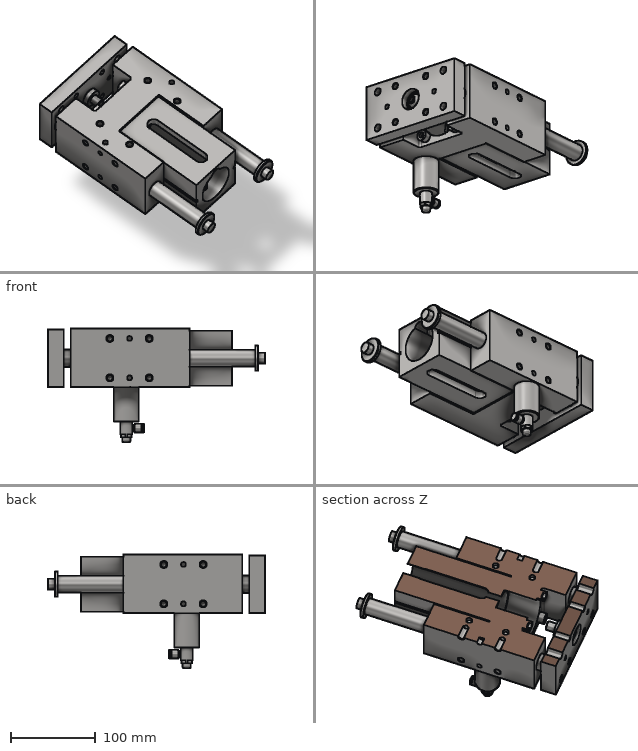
import cadquery as cq
import math

TOTAL_LENGTH = 256.0
AXIS_Z = 34.0
ROD_Y = 52.0
BOLT_PITCH = 46.3
OVERRUN = 0.8

TAP_DIA = 6.7
TAP_RIM_DIA = 8.5
TAP_RIM_DEPTH = 0.5
TAP_DEPTH = 16.0
DRILL_POINT_HEIGHT = 2.0
DOWEL_DIA = 6.0
DOWEL_DEPTH = 7.7
BOLT_HEAD_DIA = 13.0
BOLT_HEAD_HEIGHT = 8.0
SOCKET_DIA = 6.5
SOCKET_DEPTH = 4.0

HOUSING_START = 27.0
HOUSING_LENGTH = 140.0
HOUSING_END = HOUSING_START + HOUSING_LENGTH
HOUSING_WIDTH = 137.0
HOUSING_HEIGHT = 69.0
RECESS_END = 56.8
RECESS_WIDTH = 65.8
RECESS_FILLET = 2.5
RECESS_BORE_DIA = 53.8
NOTCH_START = HOUSING_START + HOUSING_LENGTH / 2
NOTCH_WIDTH = 71.0
MOUNT_X = 96.3
TOP_TAP_Y = 42.5
TOP_DOWEL_Y = 59.1

BLOCK_END = 217.0
BLOCK_WIDTH = 69.0
BLOCK_HEIGHT = 65.0
BLOCK_BORE_DIA = 47.0
SLOT_START = 112.5
SLOT_END = 201.5
SLOT_WIDTH = 15.0
KEYWAY_Z = 54.3
SIDE_GROOVE_HEIGHT = 3.0
SIDE_GROOVE_DEPTH = 2.0

LOCK_X = 92.5
LOCK_DIA = 30.0
LOCK_DEPTH = 41.0
LOCK_CHAMFER = 1.0
STEM_DIA = 14.3
STEM_DEPTH = 55.3
NUT_FLATS = 13.3
NUT_DEPTH = 59.1
TIP_DIA = 10.0
TIP_DEPTH = 65.0
TIP_FILLET = 2.0
INLET_Z = -48.5
INLET_PIN_DIA = 4.9
INLET_PIN_END = 8.0
INLET_NECK_DIA = 8.2
INLET_NECK_END = 10.0
INLET_HEAD_DIA = 10.8
INLET_HEAD_END = 21.0
INLET_GROOVE_START = 18.0
INLET_GROOVE_WIDTH = 1.3
INLET_GROOVE_DIA = 10.0
INLET_CHAMFER = 0.8

PLATE_THICKNESS = 19.0
PLATE_WIDTH = 134.0
PLATE_HEIGHT = 2 * AXIS_Z
PLATE_BORE_DIA = 25.5
PLATE_BORE_DEPTH = 9.0
CORNER_HOLE_DIA = 9.0
CORNER_HOLE_Y = 50.0
PLATE_DOWEL_Y = 35.8

COUPLING_DIA = 21.0
COUPLING_LENGTH = 6.5
WASHER_HEIGHT = 1.3
DOME_DIA = 17.5
DOME_TOP_DIA = 9.5
DOME_HEIGHT = 5.0
PISTON_ROD_DIA = 11.0
PISTON_ROD_LENGTH = 12.0
PISTON_ROD_CHAMFER = 0.8

ROD_DIA = 20.0
ROD_END = 244.2
STOP_DIA = 30.0
STOP_THICKNESS = TOTAL_LENGTH - BOLT_HEAD_HEIGHT - ROD_END
STOP_CHAMFER = 0.8

SQUARE_PATTERN = [(sy * BOLT_PITCH / 2, sz * BOLT_PITCH / 2) for sy in (-1, 1) for sz in (-1, 1)]


def x_cylinder(dia, start, end, y=0.0, z=AXIS_Z):
    """Cylinder along X between two stations."""
    plane = cq.Plane(origin=(start, y, z), xDir=(0, 1, 0), normal=(1, 0, 0))
    return cq.Workplane(plane).circle(dia / 2).extrude(end - start)


def z_cylinder(dia, top, bottom, x, y):
    """Cylinder hanging down from one height to a lower one."""
    return cq.Workplane("XY", origin=(x, y, bottom)).circle(dia / 2).extrude(top - bottom)


def box(x_range, width, z_range):
    """Block centred on Y = 0."""
    length = x_range[1] - x_range[0]
    height = z_range[1] - z_range[0]
    corner = (x_range[0], -width / 2, z_range[0])
    return cq.Workplane("XY", origin=corner).box(length, width, height, centered=False)


def tapped_hole(point, into):
    """Cutter for a blind tapped hole with a chamfered rim and a conical drill point."""
    profile = [
        (0, 0),
        (TAP_RIM_DIA / 2, 0),
        (TAP_DIA / 2, TAP_RIM_DEPTH),
        (TAP_DIA / 2, TAP_DEPTH),
        (0, TAP_DEPTH + DRILL_POINT_HEIGHT),
    ]
    cutter = cq.Workplane("XZ").polyline(profile).close().revolve(360, (0, 0), (0, 1))
    return placed(cutter, point, into)


def dowel_hole(point, into):
    """Cutter for a blind flat-bottomed dowel hole."""
    return placed(cq.Workplane("XY").circle(DOWEL_DIA / 2).extrude(DOWEL_DEPTH), point, into)


def placed(cutter, point, into):
    """Turn a cutter built along +Z so that it runs along `into` from `point`."""
    plane = cq.Plane(origin=point, xDir=(1, 0, 0), normal=into)
    return cq.Workplane(obj=cutter.val().located(plane.location))


def socket(start):
    """Round socket cutter on the bore axis, open towards -X."""
    return x_cylinder(SOCKET_DIA, start, start + SOCKET_DEPTH)


def housing_block():
    """Main block with its front recess, rear notch and mounting holes."""
    z_cut = (-OVERRUN, HOUSING_HEIGHT + OVERRUN)
    block = box((HOUSING_START, HOUSING_END), HOUSING_WIDTH, (0, HOUSING_HEIGHT))
    recess = box((HOUSING_START - OVERRUN, RECESS_END), RECESS_WIDTH, z_cut)
    recess = recess.edges("|Z and >X").fillet(RECESS_FILLET)
    notch = box((NOTCH_START, HOUSING_END + OVERRUN), NOTCH_WIDTH, z_cut)
    block = block.cut(recess).cut(notch)
    block = block.cut(x_cylinder(RECESS_BORE_DIA, RECESS_END - OVERRUN, NOTCH_START))
    for y in (-ROD_Y, ROD_Y):
        block = block.cut(x_cylinder(ROD_DIA, HOUSING_START, HOUSING_END, y))

    half_pitch = BOLT_PITCH / 2
    for side in (-1, 1):
        for x in (MOUNT_X - half_pitch, MOUNT_X + half_pitch):
            block = block.cut(tapped_hole((x, side * TOP_TAP_Y, HOUSING_HEIGHT), (0, 0, -1)))
        block = block.cut(dowel_hole((MOUNT_X, side * TOP_DOWEL_Y, HOUSING_HEIGHT), (0, 0, -1)))
        face_y = side * HOUSING_WIDTH / 2
        for z in (AXIS_Z - half_pitch, AXIS_Z + half_pitch):
            for x in (MOUNT_X - half_pitch, MOUNT_X + half_pitch):
                block = block.cut(tapped_hole((x, face_y, z), (0, -side, 0)))
            block = block.cut(dowel_hole((MOUNT_X, face_y, z), (0, -side, 0)))
    return block


def cylinder_block():
    """Bored block that closes the rear notch, slotted from top to bottom.

    A round-topped keyway runs from the slot to the rear end above the bore.
    """
    z_range = (AXIS_Z - BLOCK_HEIGHT / 2, AXIS_Z + BLOCK_HEIGHT / 2)
    block = box((NOTCH_START, BLOCK_END), BLOCK_WIDTH, z_range)
    bore = x_cylinder(BLOCK_BORE_DIA, NOTCH_START, BLOCK_END)
    slot_centre = ((SLOT_START + SLOT_END) / 2, 0, 0)
    slot = cq.Workplane("XY", origin=slot_centre).slot2D(SLOT_END - SLOT_START, SLOT_WIDTH)
    block = block.cut(bore).cut(slot.extrude(HOUSING_HEIGHT))
    keyway_start = SLOT_END - SLOT_WIDTH / 2
    block = block.cut(x_cylinder(SLOT_WIDTH, keyway_start, BLOCK_END, z=KEYWAY_Z))
    groove_z = (AXIS_Z - SIDE_GROOVE_HEIGHT / 2, AXIS_Z + SIDE_GROOVE_HEIGHT / 2)
    groove = box((NOTCH_START, BLOCK_END), 2 * SIDE_GROOVE_DEPTH, groove_z)
    for side in (-1, 1):
        block = block.cut(groove.translate((0, side * BLOCK_WIDTH / 2, 0)))
    return block


def recess_bolts():
    """Four socket head bolts on the recess floor."""
    start = RECESS_END - BOLT_HEAD_HEIGHT
    head = x_cylinder(BOLT_HEAD_DIA, start, RECESS_END).cut(socket(start))
    return [head.translate((0, y, z)) for y, z in SQUARE_PATTERN]


def inlet_cylinder(dia, start, end):
    """Cylinder of the side inlet, with ends measured from the stem axis."""
    return x_cylinder(dia, LOCK_X + start, LOCK_X + end, ROD_Y, INLET_Z)


def rod_lock():
    """Cylindrical rod lock with a stepped stem, a hexagon and a side inlet."""
    axis = (LOCK_X, ROD_Y)
    lock = z_cylinder(LOCK_DIA, 0, -LOCK_DEPTH, *axis).faces("<Z").chamfer(LOCK_CHAMFER)
    stem = z_cylinder(STEM_DIA, -LOCK_DEPTH, -STEM_DEPTH, *axis)
    nut = cq.Workplane("XY", origin=(LOCK_X, ROD_Y, -NUT_DEPTH))
    nut = nut.polygon(6, NUT_FLATS, circumscribed=True).extrude(NUT_DEPTH - STEM_DEPTH)
    nut = nut.intersect(z_cylinder(STEM_DIA, -STEM_DEPTH, -NUT_DEPTH, *axis))
    tip = z_cylinder(TIP_DIA, -NUT_DEPTH, -TIP_DEPTH, *axis).faces("<Z").edges().fillet(TIP_FILLET)
    pin = inlet_cylinder(INLET_PIN_DIA, 0, INLET_PIN_END)
    neck = inlet_cylinder(INLET_NECK_DIA, INLET_PIN_END, INLET_NECK_END)
    head = inlet_cylinder(INLET_HEAD_DIA, INLET_NECK_END, INLET_HEAD_END)
    head = head.faces(">X").chamfer(INLET_CHAMFER)
    groove_end = INLET_GROOVE_START + INLET_GROOVE_WIDTH
    head = head.cut(inlet_cylinder(INLET_HEAD_DIA, INLET_GROOVE_START, groove_end))
    core = inlet_cylinder(INLET_GROOVE_DIA, INLET_NECK_END, groove_end)
    for piece in (stem, nut, tip, pin, neck, core, head):
        lock = lock.union(piece)
    return lock


def make_housing():
    """Stationary body: housing, cylinder block, bolts and rod lock."""
    body = housing_block()
    for piece in (cylinder_block(), rod_lock(), *recess_bolts()):
        body = body.union(piece)
    return body


def tap_rim():
    """Countersink cutter along the X axis, widest at X = 0."""
    wide = cq.Workplane("YZ").circle(TAP_RIM_DIA / 2)
    return wide.workplane(offset=TAP_RIM_DEPTH).circle(TAP_DIA / 2).loft()


def tooling_plate():
    """Front plate with its coupling bore and through holes."""
    plate = box((0, PLATE_THICKNESS), PLATE_WIDTH, (0, PLATE_HEIGHT))
    plate = plate.cut(x_cylinder(PLATE_BORE_DIA, 0, PLATE_BORE_DEPTH))
    for y, z_offset in SQUARE_PATTERN:
        z = AXIS_Z + z_offset
        plate = plate.cut(tap_rim().translate((0, y, z)))
        plate = plate.cut(x_cylinder(TAP_DIA, 0, PLATE_THICKNESS, y, z))
        corner_y = math.copysign(CORNER_HOLE_Y, y)
        plate = plate.cut(x_cylinder(CORNER_HOLE_DIA, 0, PLATE_THICKNESS, corner_y, z))
    for y in (-PLATE_DOWEL_Y, PLATE_DOWEL_Y):
        plate = plate.cut(x_cylinder(DOWEL_DIA, 0, PLATE_THICKNESS, y))
    return plate


def piston_coupling():
    """Button head screw on a washer in front, piston rod end on a collar behind."""
    washer_face = PLATE_BORE_DEPTH - WASHER_HEIGHT
    washer = x_cylinder(COUPLING_DIA, washer_face, PLATE_BORE_DEPTH)
    dome_front = washer_face - DOME_HEIGHT
    radius = DOME_DIA / 2
    top_radius = DOME_TOP_DIA / 2
    mid_x = washer_face - DOME_HEIGHT * math.sqrt(0.5)
    mid_radius = top_radius + (radius - top_radius) * math.sqrt(0.5)
    dome = (
        cq.Workplane("XY")
        .moveTo(washer_face, 0)
        .lineTo(washer_face, radius)
        .threePointArc((mid_x, mid_radius), (dome_front, top_radius))
        .lineTo(dome_front, 0)
        .close()
        .revolve(360, (0, 0), (1, 0))
        .translate((0, 0, AXIS_Z))
        .cut(socket(dome_front))
    )
    collar_end = PLATE_THICKNESS + COUPLING_LENGTH
    collar = x_cylinder(COUPLING_DIA, PLATE_THICKNESS, collar_end)
    piston_rod = x_cylinder(PISTON_ROD_DIA, collar_end, collar_end + PISTON_ROD_LENGTH)
    piston_rod = piston_rod.faces(">X").chamfer(PISTON_ROD_CHAMFER)
    return washer.union(dome), collar.union(piston_rod)


def guide_rod(y):
    """Guide rod with its stop washer and end bolt."""
    stop_end = ROD_END + STOP_THICKNESS
    rod = x_cylinder(ROD_DIA, PLATE_THICKNESS, ROD_END, y)
    stop = x_cylinder(STOP_DIA, ROD_END, stop_end, y).faces(">X").chamfer(STOP_CHAMFER)
    return rod.union(stop).union(x_cylinder(BOLT_HEAD_DIA, stop_end, TOTAL_LENGTH, y))


def make_carriage():
    """Moving body: tooling plate, piston coupling and both guide rods."""
    carriage = tooling_plate()
    for piece in (*piston_coupling(), guide_rod(-ROD_Y), guide_rod(ROD_Y)):
        carriage = carriage.union(piece)
    return carriage


housing = make_housing()
carriage = make_carriage()
result = cq.Compound.makeCompound([housing.solids().val(), carriage.solids().val()])